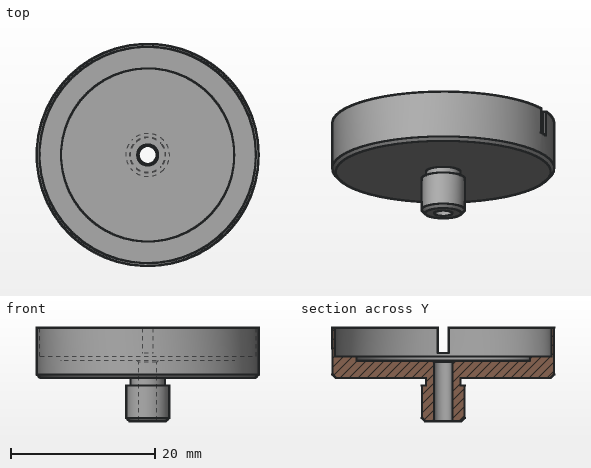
import cadquery as cq

inner_diameter = 30.0
rim_thickness = 0.4
outer_diameter = inner_diameter + 2 * rim_thickness
cup_height = 7.0
cup_chamfer = 0.5
floor_depth = 4.0
recess_diameter = 24.0
recess_depth = 0.6

neck_diameter = 4.8
neck_length = 1.0
stud_diameter = 6.0
stud_length = 5.0
stud_chamfer = 0.5

hole_diameter = 2.5
mouth_chamfer = 0.2

slot_width = 1.5
slot_depth = 3.5

floor_level = cup_height - floor_depth
recess_level = floor_level - recess_depth
stud_top = -neck_length
stud_bottom = stud_top - stud_length


def cylinder(diameter, bottom, top):
    """Solid cylinder about the Z axis between two levels."""
    return cq.Workplane("XY").workplane(offset=bottom).circle(diameter / 2).extrude(top - bottom)


def make_cup():
    body = cylinder(outer_diameter, 0, cup_height).faces("<Z").chamfer(cup_chamfer)
    cavity = cylinder(inner_diameter, floor_level, cup_height)
    recess = cylinder(recess_diameter, recess_level, floor_level)
    return body.cut(cavity).cut(recess)


def make_stud():
    neck = cylinder(neck_diameter, stud_top, recess_level)
    stud = cylinder(stud_diameter, stud_bottom, stud_top).faces("<Z").chamfer(stud_chamfer)
    return neck.union(stud)


def make_hole():
    bore_radius = hole_diameter / 2
    profile = [
        (0, stud_bottom),
        (bore_radius, stud_bottom),
        (bore_radius, recess_level - mouth_chamfer),
        (bore_radius + mouth_chamfer, recess_level),
        (0, recess_level),
    ]
    return cq.Workplane("XZ").polyline(profile).close().revolve(360, (0, 0), (0, 1))


def make_rim_slot():
    slot_length = outer_diameter / 2
    return (
        cq.Workplane("XY")
        .workplane(offset=cup_height - slot_depth)
        .center(0, slot_length / 2)
        .rect(slot_width, slot_length)
        .extrude(slot_depth)
    )


result = make_cup().union(make_stud()).cut(make_hole()).cut(make_rim_slot())